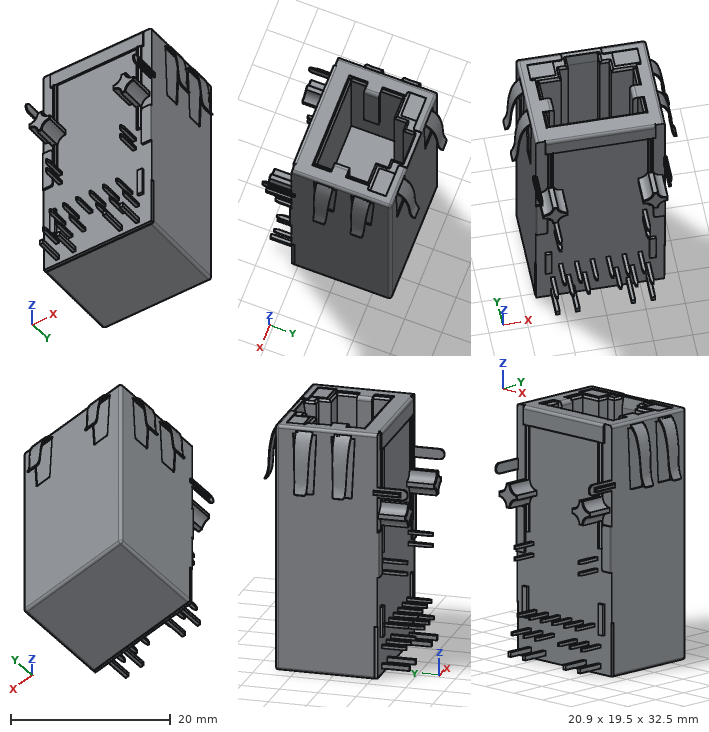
import cadquery as cq


HEIGHT = 32.5
HALF_WIDTH = 8.25
DEPTH = 13.32
SHEET = 0.2
EDGE_RADIUS = 0.4

CAVITY_FLOOR = 16.25
CAVITY_HALF = 5.98
CAVITY_FRONT = 2.57
CAVITY_SHOULDER = 9.4
LATCH_HALF, LATCH_TOP = 3.2, 11.02
KEY_HALF, KEY_TOP = 2.0, 12.4
LIP_CHAMFER = 0.3
KEY_BEVEL_DEPTH, KEY_BEVEL_HEIGHT = 0.25, 1.43
WINDOW_HALF = 6.45
WINDOW_FRONT = 2.1
LED_HALF_OUT, LED_HALF_IN = 7.02, 3.77
LED_FRONT, LED_BACK = 10.08, 12.2
LED_RISE = 0.05
LED_WINDOW_FRONT = 9.72
NOTCH_HALF = 2.55
WINDOW_CORNER = 0.15

TAB_FRONT, TAB_BACK = 4.6, 6.6
TAB_HALF_BEND, TAB_HALF_IN = 5.52, 5.0
TAB_THICK = 0.62
TAB_BOTTOM = 22.75

FINGER_TOP, FINGER_TIP = 32.05, 24.15
FINGER_HALF_TOP, FINGER_HALF_TIP = 1.1, 0.78
FINGER_REACH = 2.2
FINGER_SHEET = 0.13
FINGER_ROUND = 0.42
SLOT_TOP, SLOT_BOTTOM = 31.6, 23.65
SLOT_HALF_TOP, SLOT_HALF_BOTTOM = 1.53, 1.15
SLOT_ROUND = 0.2
SIDE_FINGERS_Y = (4.5, 9.5)
BACK_FINGER_X = 4.88

FOLD = 0.23
STRIP_HALF, STRIP_BOTTOM = 7.02, 30.05
FLAP_INNER, FLAP_BOTTOM, FLAP_TOP, FLAP_CORNER = 6.75, 13.52, 19.5, 0.3
STANDOFF = 0.35
RIB_X, RIB_BOTTOM = 6.37, 16.38
RIB_HALF, RIB_CREST_HALF, RIB_SHOULDER = 0.32, 0.08, 0.2
PAD_INNER, PAD_OUTER, PAD_BOTTOM, PAD_TOP = 6.25, 7.02, 5.25, 9.25
SEAM_TOP, SEAM_DEPTH, SEAM_INSET, SEAM_LIP = 7.0, 0.4, 0.1, 0.13

POST_Z, POST_LENGTH = 21.55, 3.6
POST_REACH, POST_TIP_HALF, POST_CHAMFER = 1.55, 0.32, 0.1
LOCK_Z, LOCK_HALF, LOCK_ROUND, LOCK_LENGTH = 24.75, 0.68, 0.65, 3.93
BEAD_BACK, BEAD_LENGTH, BEAD_HALF, BEAD_RISE, BEAD_CHAMFER = 0.5, 3.1, 0.3, 0.3, 0.13

PIN_WIDTH, PIN_THICK, PIN_TIP = 0.5, 0.4, 0.23
PIN_LENGTH, PIN_TAPER = 3.15, 0.52
PINS_PER_SIDE, OUTER_PIN_X = 3, 6.08
PITCH = OUTER_PIN_X / PINS_PER_SIDE
LED_PIN_X, LED_PIN_Z = 5.62, (14.95, 13.45)
UPPER_ROW_Z, LOWER_ROW_Z = 6.27, 3.75
SHIELD_PIN_X, SHIELD_PIN_Z = (3.55, OUTER_PIN_X), 1.17
SHIELD_PIN_WIDTH, SHIELD_PIN_THICK = 0.5, 0.62

EMBED = 0.32


def block(x0, x1, y0, y1, z0, z1):
    """Box between two corners."""
    return cq.Workplane("XY").box(x1 - x0, y1 - y0, z1 - z0, centered=False).translate((x0, y0, z0))


def on_both_sides(body):
    """A body joined with its mirror image across the mid plane."""
    return body.union(body.mirror("YZ"))


def symmetric_outline(half, z):
    """Closed XY outline at height z from its right-hand half, listed front to back."""
    left = [(-x, y) for x, y in reversed(half)]
    return cq.Workplane("XY", origin=(0, 0, z)).polyline(half + left).close()


def shell():
    body = block(-HALF_WIDTH, HALF_WIDTH, 0, DEPTH, 0, HEIGHT)
    body = body.edges(">Y or (|Y and >Z) or (|Y and <Z)").fillet(EDGE_RADIUS)
    for x0 in (-HALF_WIDTH, HALF_WIDTH - SEAM_INSET):
        body = body.cut(block(x0, x0 + SEAM_INSET, 0, SEAM_DEPTH, 0, SEAM_TOP))
    return body.cut(block(-HALF_WIDTH, HALF_WIDTH, 0, SEAM_DEPTH, 0, SEAM_LIP))


def window():
    """Opening in the shell's top sheet, with gaps for the tabs and a notch through the back."""
    half = [
        (WINDOW_HALF, WINDOW_FRONT),
        (WINDOW_HALF, TAB_FRONT),
        (TAB_HALF_BEND, TAB_FRONT),
        (TAB_HALF_BEND, TAB_BACK),
        (WINDOW_HALF, TAB_BACK),
        (WINDOW_HALF, LED_WINDOW_FRONT),
        (LED_HALF_OUT - WINDOW_CORNER, LED_WINDOW_FRONT),
        (LED_HALF_OUT, LED_WINDOW_FRONT + WINDOW_CORNER),
        (LED_HALF_OUT, LED_BACK),
        (NOTCH_HALF + WINDOW_CORNER, LED_BACK),
        (NOTCH_HALF, LED_BACK + WINDOW_CORNER),
        (NOTCH_HALF, DEPTH),
    ]
    return symmetric_outline(half, HEIGHT - SHEET).extrude(SHEET)


def cavity():
    """Stepped plug cavity with a flared mouth and a steep bevel above the latch key."""
    half = [
        (CAVITY_HALF, CAVITY_FRONT),
        (CAVITY_HALF, CAVITY_SHOULDER),
        (LATCH_HALF, CAVITY_SHOULDER),
        (LATCH_HALF, LATCH_TOP),
        (KEY_HALF, LATCH_TOP),
        (KEY_HALF, KEY_TOP),
    ]
    lip = HEIGHT - SHEET
    space = symmetric_outline(half, CAVITY_FLOOR).extrude(lip - CAVITY_FLOOR)
    flare = symmetric_outline(half, lip - LIP_CHAMFER).extrude(LIP_CHAMFER, taper=-45)
    bevel = (
        cq.Workplane("YZ", origin=(-KEY_HALF, 0, 0))
        .moveTo(KEY_TOP, lip - KEY_BEVEL_HEIGHT)
        .lineTo(KEY_TOP + KEY_BEVEL_DEPTH, lip)
        .lineTo(KEY_TOP, lip)
        .close()
        .extrude(2 * KEY_HALF)
    )
    return space.union(flare).union(bevel)


def led():
    lip = HEIGHT - SHEET
    return block(LED_HALF_IN, LED_HALF_OUT, LED_FRONT, LED_BACK, lip - EMBED, lip + LED_RISE)


def contact_tab():
    """Tab leaving the top sheet, rounded over and running down into the cavity."""
    bend = TAB_HALF_BEND - TAB_HALF_IN
    outer_face = TAB_HALF_IN + TAB_THICK
    return (
        cq.Workplane("XZ", origin=(0, TAB_BACK, 0))
        .moveTo(WINDOW_HALF, HEIGHT)
        .lineTo(TAB_HALF_BEND, HEIGHT)
        .radiusArc((TAB_HALF_IN, HEIGHT - bend), -bend)
        .lineTo(TAB_HALF_IN, TAB_BOTTOM)
        .lineTo(outer_face, TAB_BOTTOM)
        .lineTo(outer_face, HEIGHT - SHEET)
        .lineTo(WINDOW_HALF, HEIGHT - SHEET)
        .close()
        .extrude(TAB_BACK - TAB_FRONT)
    )


def finger():
    """Bowed strip with a flared tip, narrowing toward a rounded end."""
    root, tip = (-0.23, 32.15), (FINGER_REACH, FINGER_TIP + FINGER_SHEET)
    outer = [root, (0.78, 31.1), (1.3, 29.58), (1.6, 27.3), (1.72, 25.5), tip]
    inner = [(y - FINGER_SHEET, z - FINGER_SHEET) for y, z in reversed(outer)]
    bow = (
        cq.Workplane("YZ", origin=(-FINGER_HALF_TOP, 0, 0))
        .spline(outer)
        .lineTo(*inner[0])
        .spline(inner, includeCurrent=False)
        .close()
        .extrude(2 * FINGER_HALF_TOP)
    )
    plan = tapered_plate(FINGER_TOP, FINGER_TIP, FINGER_HALF_TOP, FINGER_HALF_TIP, FINGER_ROUND)
    return bow.intersect(plan.translate((0, FINGER_REACH, 0)))


def tapered_plate(top, bottom, half_top, half_bottom, corner):
    """Plate narrowing downward with rounded lower corners, reaching far to -Y from Y = 0."""
    thickness = 2 * FINGER_REACH
    return (
        cq.Workplane("XZ")
        .polyline([(half_top, top), (half_bottom, bottom), (-half_bottom, bottom), (-half_top, top)])
        .close()
        .extrude(thickness)
        .edges("|Y and <Z")
        .fillet(corner)
    )


def finger_slot():
    plate = tapered_plate(SLOT_TOP, SLOT_BOTTOM, SLOT_HALF_TOP, SLOT_HALF_BOTTOM, SLOT_ROUND)
    return plate.translate((0, 2 * FINGER_REACH - SHEET, 0))


def at_each_finger(body):
    """Copies of a body on the two side walls and the back wall."""
    on_left = body.rotate((0, 0, 0), (0, 0, 1), 90)
    copies = [on_both_sides(on_left.translate((-HALF_WIDTH, y, 0))) for y in SIDE_FINGERS_Y]
    copies.append(on_both_sides(body.translate((BACK_FINGER_X, DEPTH, 0))))
    return copies


def front_strip():
    """Top sheet folded over the board-side face."""
    strip = block(-STRIP_HALF, STRIP_HALF, -FOLD, EDGE_RADIUS, STRIP_BOTTOM, HEIGHT)
    return strip.edges("|X and >Z and <Y").fillet(EDGE_RADIUS)


def side_flap():
    """Side sheet folded over the board-side face."""
    flap = block(FLAP_INNER, HALF_WIDTH, -FOLD, EMBED, FLAP_BOTTOM, FLAP_TOP)
    flap = flap.edges("|Y and <X").fillet(FLAP_CORNER)
    return flap.edges("|Z and >X and <Y").fillet(SEAM_INSET)


def rib():
    """Standing rib with straight sides and a roof sloping up to a narrow crest."""
    return (
        cq.Workplane("XY", origin=(RIB_X, 0, RIB_BOTTOM))
        .polyline([
            (-RIB_HALF, EMBED),
            (-RIB_HALF, -RIB_SHOULDER),
            (-RIB_CREST_HALF, -STANDOFF),
            (RIB_CREST_HALF, -STANDOFF),
            (RIB_HALF, -RIB_SHOULDER),
            (RIB_HALF, EMBED),
        ])
        .close()
        .extrude(STRIP_BOTTOM - RIB_BOTTOM)
    )


def pad():
    return block(PAD_INNER, PAD_OUTER, -STANDOFF, EMBED, PAD_BOTTOM, PAD_TOP)


def locating_post():
    """Four-pointed star post with concave quarter-round flanks."""
    scoop = POST_REACH - POST_TIP_HALF
    star = (
        cq.Workplane("XZ", origin=(RIB_X, EMBED, POST_Z))
        .rect(2 * POST_REACH, 2 * POST_REACH)
        .extrude(POST_LENGTH + EMBED)
    )
    scoops = (
        cq.Workplane("XZ", origin=(RIB_X, EMBED, POST_Z))
        .rect(2 * POST_REACH, 2 * POST_REACH, forConstruction=True)
        .vertices()
        .circle(scoop)
        .extrude(POST_LENGTH + EMBED)
    )
    return star.cut(scoops).faces("<Y").chamfer(POST_CHAMFER)


def board_lock():
    """Round-ended blade in the plane of the side wall, stiffened by a sloped bead."""
    blade = block(HALF_WIDTH - SHEET, HALF_WIDTH, -LOCK_LENGTH, EMBED,
                  LOCK_Z - LOCK_HALF, LOCK_Z + LOCK_HALF)
    blade = blade.edges("|X and <Y").fillet(LOCK_ROUND)
    bead = block(HALF_WIDTH - SHEET, HALF_WIDTH + BEAD_RISE, -BEAD_LENGTH, BEAD_BACK,
                 LOCK_Z - BEAD_HALF, LOCK_Z + BEAD_HALF)
    return blade.union(bead.faces(">X").chamfer(BEAD_CHAMFER))


def signal_pin(x, z):
    """Pin tapering across its width at the tip."""
    half, tip_half = PIN_WIDTH / 2, PIN_TIP / 2
    shoulder = PIN_TAPER - PIN_LENGTH
    return (
        cq.Workplane("XY", origin=(x, 0, z - PIN_THICK / 2))
        .polyline([
            (half, EMBED),
            (half, shoulder),
            (tip_half, -PIN_LENGTH),
            (-tip_half, -PIN_LENGTH),
            (-half, shoulder),
            (-half, EMBED),
        ])
        .close()
        .extrude(PIN_THICK)
    )


def shield_pin(x):
    half, half_z = SHIELD_PIN_WIDTH / 2, SHIELD_PIN_THICK / 2
    return block(x - half, x + half, -POST_LENGTH, EMBED, SHIELD_PIN_Z - half_z, SHIELD_PIN_Z + half_z)


def right_hand_pins():
    pins = [signal_pin(LED_PIN_X, z) for z in LED_PIN_Z]
    for step in range(1, PINS_PER_SIDE + 1):
        pins.append(signal_pin((step - 0.5) * PITCH, UPPER_ROW_Z))
        pins.append(signal_pin(step * PITCH, LOWER_ROW_Z))
    return pins + [shield_pin(x) for x in SHIELD_PIN_X]


result = shell().cut(window()).cut(cavity())
for slot in at_each_finger(finger_slot()):
    result = result.cut(slot)
for spring in at_each_finger(finger()):
    result = result.union(spring)

result = result.cut(block(-STRIP_HALF, STRIP_HALF, 0, EDGE_RADIUS, STRIP_BOTTOM, HEIGHT))
result = result.union(front_strip())

right_hand = [led(), contact_tab(), side_flap(), rib(), pad(), locating_post(), board_lock()]
for detail in right_hand + right_hand_pins():
    result = result.union(on_both_sides(detail))